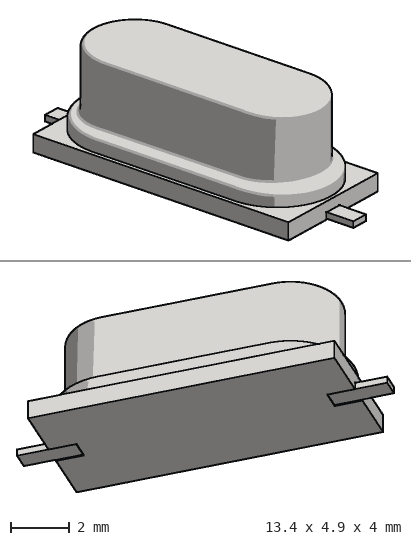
import cadquery as cq

base_length = 11.1
base_width = 4.9
base_height = 0.7

total_height = 4.0
end_center_spacing = 6.19
cap_radius = 1.86
flange_radius = 2.32
flange_height = 0.6
edge_radius = 0.2
can_offset_y = 0.04

lead_span = 13.4
lead_width = 0.7
lead_thickness = 0.25
lead_lift = 0.03
slot_width = 0.75
slot_depth = 1.0

flange_top = base_height + flange_height
lead_top = lead_lift + lead_thickness
slot_spacing = base_length - 2 * slot_depth


def box(length, width, bottom, top):
    """Block centered in X and Y, spanning bottom to top in Z."""
    return cq.Workplane("XY").workplane(offset=bottom).rect(length, width).extrude(top - bottom)


def stadium(end_radius, bottom, top):
    """Round-ended block along X, spanning bottom to top in Z."""
    overall_length = end_center_spacing + 2 * end_radius
    outline = cq.Workplane("XY").workplane(offset=bottom).slot2D(overall_length, 2 * end_radius)
    return outline.extrude(top - bottom)


def make_can():
    """Flange and cap, with rounded rims and a concave blend at the foot of the cap."""
    flange = stadium(flange_radius, base_height, flange_top)
    flange = flange.faces(">Z").edges().fillet(edge_radius)
    cap = stadium(cap_radius, flange_top, total_height)
    cap = cap.faces(">Z").edges().fillet(edge_radius)
    can = flange.union(cap)
    ledge = can.faces("+Z").faces("<Z").val()
    foot = ledge.innerWires()[0]
    return can.newObject(foot.Edges()).fillet(edge_radius)


def make_end_blocks(outer_span, inner_span, width, bottom, top):
    """Two matching blocks at the ends of outer_span, with inner_span left empty between them."""
    return box(outer_span, width, bottom, top).cut(box(inner_span, width, bottom, top))


base = box(base_length, base_width, 0, base_height)
slots = make_end_blocks(base_length, slot_spacing, slot_width, 0, lead_top)
leads = make_end_blocks(lead_span, slot_spacing, lead_width, lead_lift, lead_top)
can = make_can().translate((0, can_offset_y, 0))

result = base.cut(slots).union(leads).union(can)